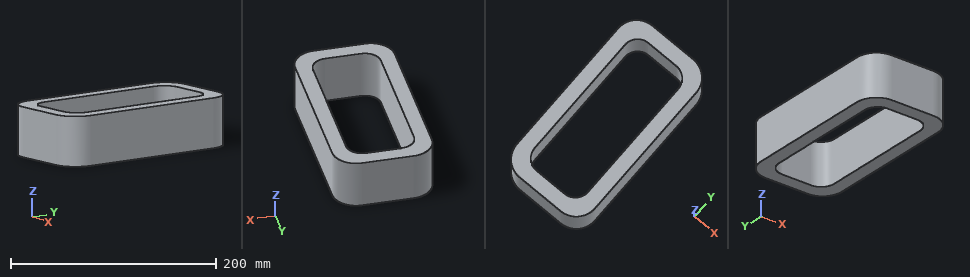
import cadquery as cq

width = 100.0
length = 200.0
height = 50.0
wall = 16.0
outer_radius = 24.0
inner_radius = 16.0


def rounded_block(size_x, size_y, corner_radius):
    """Full-height block with rounded vertical edges."""
    block = cq.Workplane("XY").box(size_x, size_y, height)
    return block.edges("|Z").fillet(corner_radius)


outer_body = rounded_block(width, length, outer_radius)
opening = rounded_block(width - 2 * wall, length - 2 * wall, inner_radius)

result = outer_body.cut(opening)